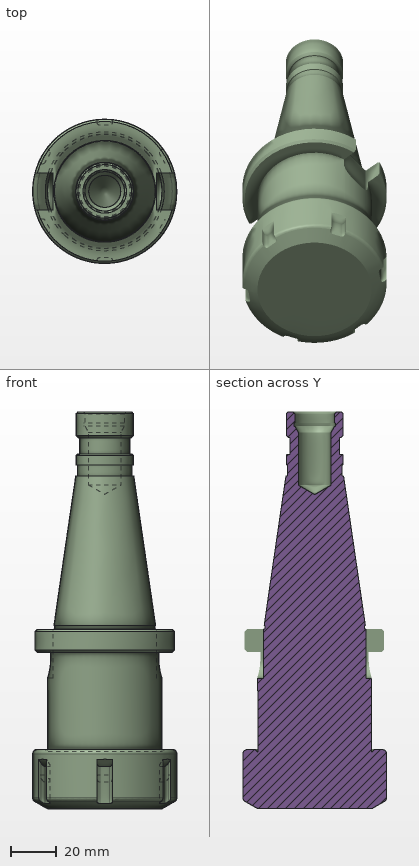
import cadquery as cq
import math


GAUGE_RADIUS = 44.45 / 2
TAPER_SLOPE = 7 / 48
TAPER_LENGTH = 65.4
RUNOUT_GROOVE_RADIUS = 21.9
RUNOUT_GROOVE_HEIGHT = 1.4

SHANK_TOP = 93.4
STUD_RADIUS = 12.5
STUD_RELIEF_RADIUS = 12.0
STUD_NECK_RADIUS = 11.0
HEAD_HEIGHT = 11.4
STUD_NECK_HEIGHT = 7.1
COLLAR_HEIGHT = 4.8
HEAD_TOP_CHAMFER = 0.8
HEAD_BOTTOM_CHAMFER = 1.0
COLLAR_CHAMFER = 0.5

HOLE_MOUTH_CHAMFER = 0.9
COUNTERBORE_RADIUS = 8.6
COUNTERBORE_DEPTH = 5.0
RELIEF_RADIUS = 9.0
RELIEF_DEPTH = 6.3
HOLE_RADIUS = 7.0
HOLE_DEPTH = 32.0
CENTRE_HALF_ANGLE = 30
DRILL_POINT_HALF_ANGLE = 60

FLANGE_RADIUS = 31.5
FLANGE_TOP = -1.6
FLANGE_THICKNESS = 10.0
FLANGE_CHAMFER = 1.0

DRIVE_SLOT_WIDTH = 16.1
DRIVE_SLOT_FLOOR = 22.5
DRIVE_SLOT_BOTTOM = -22.9

BODY_RADIUS = 25.0
NUT_RADIUS = 31.5
NUT_TOP = -54.0
NUT_BOTTOM = -80.0
NUT_BORE_CHAMFER = 1.0
NUT_FILLET = 2.0
NUT_CONE_TOP = -76.2
NUT_CONE_ANGLE = 30

SPANNER_SLOT_COUNT = 6
SPANNER_SLOT_FLOOR = 28.9
SPANNER_SLOT_WIDTH = 6.8
SPANNER_FLOOR_FILLET = 1.3
SPANNER_END_SLOPE = 3.2
LONG_SLOT_TOP = -58.3
SHORT_SLOT_TOP = -65.1


def revolve_profile(points):
    """Turn a closed radius/height outline about the Z axis."""
    return cq.Workplane("XZ").polyline(points).close().revolve(360, (0, 0), (0, 1))


def make_shank():
    taper_top_radius = GAUGE_RADIUS - TAPER_LENGTH * TAPER_SLOPE
    head_bottom = SHANK_TOP - HEAD_HEIGHT
    collar_top = head_bottom - STUD_NECK_HEIGHT
    collar_bottom = collar_top - COLLAR_HEIGHT
    return revolve_profile([
        (0, FLANGE_TOP),
        (GAUGE_RADIUS, FLANGE_TOP),
        (GAUGE_RADIUS, -RUNOUT_GROOVE_HEIGHT),
        (RUNOUT_GROOVE_RADIUS, -RUNOUT_GROOVE_HEIGHT),
        (RUNOUT_GROOVE_RADIUS, 0),
        (GAUGE_RADIUS, 0),
        (taper_top_radius, TAPER_LENGTH),
        (STUD_RELIEF_RADIUS, TAPER_LENGTH),
        (STUD_RELIEF_RADIUS, collar_bottom),
        (STUD_RADIUS, collar_bottom),
        (STUD_RADIUS, collar_top - COLLAR_CHAMFER),
        (STUD_RADIUS - COLLAR_CHAMFER, collar_top),
        (STUD_NECK_RADIUS, collar_top),
        (STUD_NECK_RADIUS, head_bottom),
        (STUD_RADIUS - HEAD_BOTTOM_CHAMFER, head_bottom),
        (STUD_RADIUS, head_bottom + HEAD_BOTTOM_CHAMFER),
        (STUD_RADIUS, SHANK_TOP - HEAD_TOP_CHAMFER),
        (STUD_RADIUS - HEAD_TOP_CHAMFER, SHANK_TOP),
        (0, SHANK_TOP),
    ])


def make_stud_hole():
    counterbore_floor = SHANK_TOP - COUNTERBORE_DEPTH
    relief_bottom = SHANK_TOP - RELIEF_DEPTH
    centre_depth = (COUNTERBORE_RADIUS - HOLE_RADIUS) / math.tan(math.radians(CENTRE_HALF_ANGLE))
    straight_bottom = SHANK_TOP - HOLE_DEPTH
    point_depth = HOLE_RADIUS / math.tan(math.radians(DRILL_POINT_HALF_ANGLE))
    return revolve_profile([
        (0, SHANK_TOP),
        (COUNTERBORE_RADIUS + HOLE_MOUTH_CHAMFER, SHANK_TOP),
        (COUNTERBORE_RADIUS, SHANK_TOP - HOLE_MOUTH_CHAMFER),
        (COUNTERBORE_RADIUS, counterbore_floor),
        (RELIEF_RADIUS, counterbore_floor),
        (RELIEF_RADIUS, relief_bottom),
        (COUNTERBORE_RADIUS, relief_bottom),
        (HOLE_RADIUS, relief_bottom - centre_depth),
        (HOLE_RADIUS, straight_bottom),
        (0, straight_bottom - point_depth),
    ])


def make_flange():
    top_plane = cq.Workplane("XY", origin=(0, 0, FLANGE_TOP))
    flange = top_plane.circle(FLANGE_RADIUS).extrude(-FLANGE_THICKNESS)
    return flange.edges().chamfer(FLANGE_CHAMFER)


def make_body():
    """Cylinder from the flange down into the nut."""
    top_plane = cq.Workplane("XY", origin=(0, 0, FLANGE_TOP))
    return top_plane.circle(BODY_RADIUS).extrude(NUT_CONE_TOP - FLANGE_TOP)


def make_drive_slot(side):
    """Round-bottomed slot; side is +1 for +X and -1 for -X."""
    half_width = DRIVE_SLOT_WIDTH / 2
    arc_centre = DRIVE_SLOT_BOTTOM + half_width
    return (
        cq.Workplane("YZ", origin=(side * DRIVE_SLOT_FLOOR, 0, 0))
        .moveTo(half_width, FLANGE_TOP)
        .lineTo(half_width, arc_centre)
        .threePointArc((0, DRIVE_SLOT_BOTTOM), (-half_width, arc_centre))
        .lineTo(-half_width, FLANGE_TOP)
        .close()
        .extrude(side * FLANGE_RADIUS)
    )


def make_nut():
    cone_drop = NUT_CONE_TOP - NUT_BOTTOM
    bottom_radius = NUT_RADIUS - cone_drop / math.tan(math.radians(NUT_CONE_ANGLE))
    outer_edges = cq.selectors.RadiusNthSelector(-1)
    nut = revolve_profile([
        (0, NUT_BOTTOM),
        (bottom_radius, NUT_BOTTOM),
        (NUT_RADIUS, NUT_CONE_TOP),
        (NUT_RADIUS, NUT_TOP),
        (BODY_RADIUS + NUT_BORE_CHAMFER, NUT_TOP),
        (BODY_RADIUS, NUT_TOP - NUT_BORE_CHAMFER),
        (0, NUT_TOP - NUT_BORE_CHAMFER),
    ])
    return nut.edges("%CIRCLE").edges(outer_edges).fillet(NUT_FILLET)


def make_spanner_slot(angle, top):
    """Open-bottomed slot with a sloped upper end and rounded floor corners, facing the given angle."""
    side_outline = [
        (SPANNER_SLOT_FLOOR, NUT_BOTTOM),
        (NUT_RADIUS, NUT_BOTTOM),
        (NUT_RADIUS, top),
        (SPANNER_SLOT_FLOOR, top - SPANNER_END_SLOPE),
    ]
    slot = cq.Workplane("XZ").polyline(side_outline).close().extrude(SPANNER_SLOT_WIDTH / 2, both=True)
    slot = slot.faces("<X").edges("|Z").fillet(SPANNER_FLOOR_FILLET)
    return slot.rotate((0, 0, 0), (0, 0, 1), angle)


def cut_spanner_slots(nut):
    pitch = 360 / SPANNER_SLOT_COUNT
    for index in range(SPANNER_SLOT_COUNT):
        angle = pitch * (index + 0.5)
        top = SHORT_SLOT_TOP if angle < 180 else LONG_SLOT_TOP
        nut = nut.cut(make_spanner_slot(angle, top))
    return nut


holder = make_shank().union(make_flange()).union(make_body())
holder = holder.cut(make_stud_hole())
for side in (-1, 1):
    holder = holder.cut(make_drive_slot(side))

result = holder.union(cut_spanner_slots(make_nut()))